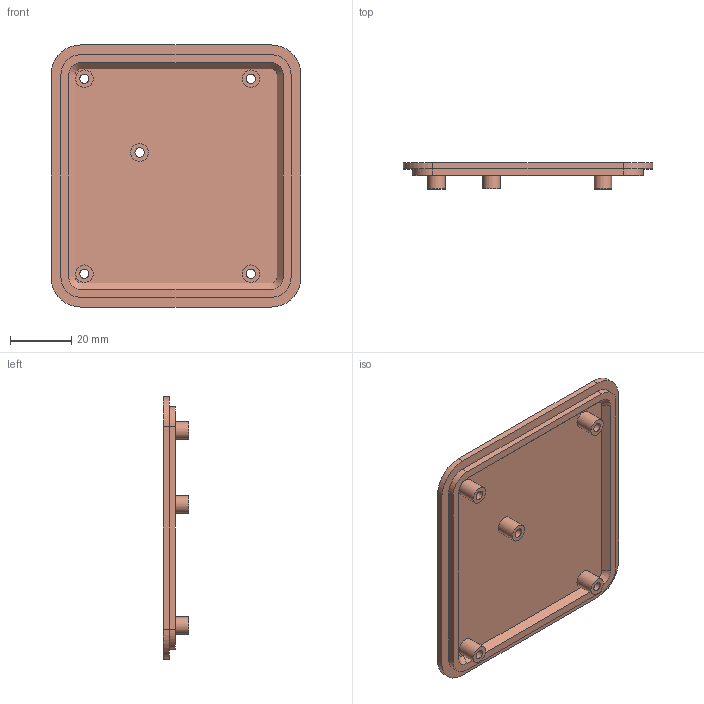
import cadquery as cq

plate_width = 81.28
plate_height = 85.28
plate_thickness = 2.0
corner_radius = 9.64
total_depth = 8.45

lip_inset = 3.2
lip_height = 2.0
lip_top = plate_thickness + lip_height

recess_inset = 5.78
recess_depth = 2.0
recess_floor = lip_top - recess_depth
floor_inset = recess_inset + recess_depth

post_diameter = 5.7
post_bore = 3.0
post_left_x = -29.8
post_right_x = 24.35
post_bottom_z = -31.8
post_top_z = 31.65
inner_post_x = -11.85
inner_post_z = 7.65
post_centers = [(x, z) for x in (post_left_x, post_right_x) for z in (post_bottom_z, post_top_z)]
post_centers.append((inner_post_x, inner_post_z))


def plane_at(depth):
    """Plane parallel to the back face, at a depth measured from it toward -Y."""
    return cq.Workplane("XZ", origin=(0, -depth, 0))


def rounded_outline(inset):
    """Plate outline moved inward by inset; all the outlines share their corner centers."""
    return cq.Sketch().rect(plate_width - 2 * inset, plate_height - 2 * inset).vertices().fillet(
        corner_radius - inset
    )


def make_plate():
    return plane_at(0).placeSketch(rounded_outline(0)).extrude(plate_thickness)


def make_lip():
    return plane_at(plate_thickness).placeSketch(rounded_outline(lip_inset)).extrude(lip_height)


def make_recess():
    """Tapered cutter that narrows from the recess mouth to its floor."""
    floor_outline = rounded_outline(floor_inset)
    mouth_outline = rounded_outline(recess_inset).moved(cq.Location(cq.Vector(0, 0, recess_depth)))
    return plane_at(recess_floor).placeSketch(floor_outline, mouth_outline).loft()


def make_posts():
    post_length = total_depth - recess_floor
    return plane_at(recess_floor).pushPoints(post_centers).circle(post_diameter / 2).extrude(post_length)


def make_bores():
    """Holes running through the posts and the plate."""
    return plane_at(0).pushPoints(post_centers).circle(post_bore / 2).extrude(total_depth)


body = make_plate().union(make_lip()).cut(make_recess())
result = body.union(make_posts()).cut(make_bores())